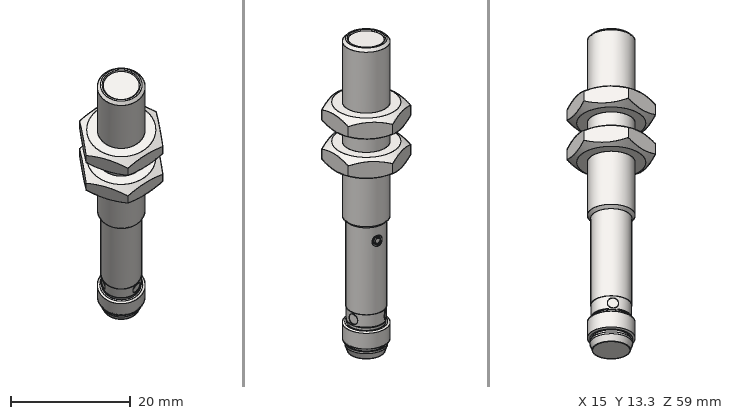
import cadquery as cq
import math

total_length = 59.0

barrel_radius = 4.0
barrel_bottom = 25.5
barrel_end_chamfer = 0.55

recess_mouth_radius = 3.2
recess_floor_radius = 3.0
recess_depth = 0.2

body_diameter = 6.9
body_radius = body_diameter / 2
body_top = 24.95
sleeve_diameter = 6.8
sleeve_radius = sleeve_diameter / 2
sleeve_top = 8.5
sleeve_bottom = 5.95
sleeve_end_chamfer_width = 0.05
sleeve_end_chamfer_height = 0.2

neck_radius = 3.3
collar_top = 5.5
collar_bottom = 2.1
collar_radius = barrel_radius
collar_chamfer_width = 0.4
collar_chamfer_height = 0.2
barb_radius = 3.6
barb_top = 1.6
barb_taper_start = 1.25
barb_tip_radius = 3.2
barb_tip_chamfer = 0.05

nut_across_flats = 13.0
nut_height = 4.0
nut_turn = 2.3
nut_face_radius = 5.8
nut_corner_chamfer_height = 1.05
nut_bottoms = (35.5, 42.95)

window_angle = 180.0
window_height = 22.2
window_rim_radius = 1.0
window_rim_depth = 0.25
window_well_diameter = 1.5
window_well_radius = window_well_diameter / 2
window_well_depth = 0.35
window_lens_radius = 0.5

mark_count = 3
mark_radius = 0.95
mark_height = 7.2
mark_first_angle = 225.0
mark_floor_distance = 3.25


def turned_body():
    """Barrel, rear body, neck, collar and barb as one turned profile."""
    collar_edge_radius = collar_radius - collar_chamfer_width
    profile = [
        (0, 0),
        (barb_tip_radius - barb_tip_chamfer, 0),
        (barb_tip_radius, barb_tip_chamfer),
        (barb_radius, barb_taper_start),
        (barb_radius, barb_top),
        (neck_radius, barb_top),
        (neck_radius, collar_bottom),
        (collar_edge_radius, collar_bottom),
        (collar_radius, collar_bottom + collar_chamfer_height),
        (collar_radius, collar_top - collar_chamfer_height),
        (collar_edge_radius, collar_top),
        (neck_radius, collar_top),
        (neck_radius, sleeve_bottom),
        (sleeve_radius - sleeve_end_chamfer_width, sleeve_bottom),
        (sleeve_radius, sleeve_bottom + sleeve_end_chamfer_height),
        (sleeve_radius, sleeve_top),
        (body_radius, sleeve_top),
        (body_radius, body_top),
        (barrel_radius, barrel_bottom),
        (barrel_radius, total_length - barrel_end_chamfer),
        (barrel_radius - barrel_end_chamfer, total_length),
        (recess_mouth_radius, total_length),
        (recess_floor_radius, total_length - recess_depth),
        (0, total_length - recess_depth),
    ]
    return cq.Workplane("XZ").polyline(profile).close().revolve(360, (0, 0, 0), (0, 1, 0))


def lock_nut(bottom):
    """Hexagonal nut with conically chamfered corners on both faces."""
    corner_radius = nut_across_flats / math.sqrt(3)
    hexagon = (
        cq.Workplane("XY")
        .polygon(6, 2 * corner_radius)
        .extrude(nut_height)
        .rotate((0, 0, 0), (0, 0, 1), nut_turn)
    )
    envelope = (
        cq.Workplane("XZ")
        .polyline([
            (0, 0),
            (nut_face_radius, 0),
            (corner_radius, nut_corner_chamfer_height),
            (corner_radius, nut_height - nut_corner_chamfer_height),
            (nut_face_radius, nut_height),
            (0, nut_height),
        ])
        .close()
        .revolve(360, (0, 0, 0), (0, 1, 0))
    )
    return hexagon.intersect(envelope).translate((0, 0, bottom))


def radial_rod(radius, inner_distance, height, angle):
    """Rod pointing outward from the axis, reaching clear of the body."""
    return (
        cq.Workplane("YZ", origin=(inner_distance, 0, height))
        .circle(radius)
        .extrude(body_radius)
        .rotate((0, 0, 0), (0, 0, 1), angle)
    )


def crimp_marks():
    """Flat-bottomed round marks, evenly spaced around the sleeve."""
    marks = cq.Workplane("XY")
    for index in range(mark_count):
        angle = mark_first_angle + index * 360 / mark_count
        marks = marks.add(radial_rod(mark_radius, mark_floor_distance, mark_height, angle))
    return marks.combine()


def window_recess():
    """Shallow round recess with a narrower, deeper well in its floor."""
    rim = radial_rod(window_rim_radius, body_radius - window_rim_depth, window_height, window_angle)
    well = radial_rod(window_well_radius, body_radius - window_well_depth, window_height, window_angle)
    return rim.union(well)


def window_lens():
    """Round lens standing in the well, with its flat end level with the body surface."""
    return (
        cq.Workplane("YZ", origin=(-body_radius, 0, window_height))
        .circle(window_lens_radius)
        .extrude(body_radius)
    )


result = turned_body().cut(crimp_marks()).cut(window_recess()).union(window_lens())
for nut_bottom in nut_bottoms:
    result = result.union(lock_nut(nut_bottom))